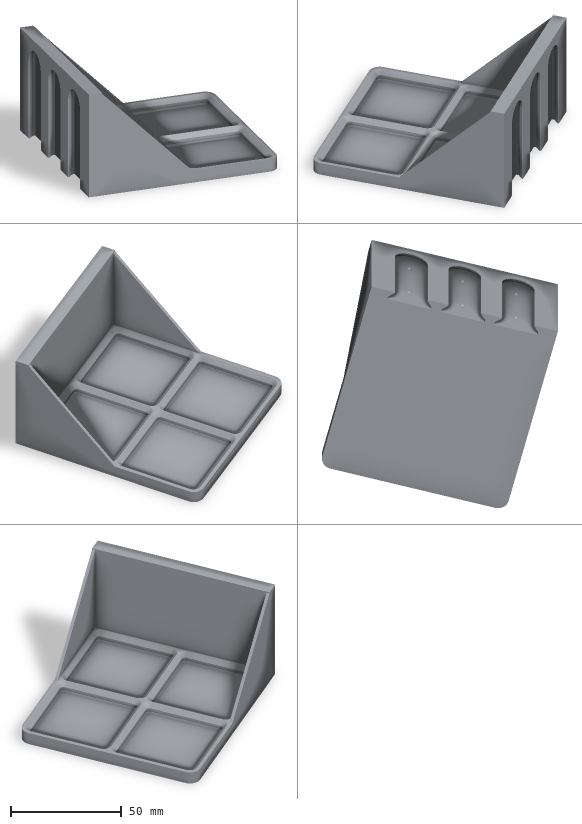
import cadquery as cq
width = 87.0
depth = 92.5
height = 50.0

wall_thickness = 6.5
slot_count = 3
slot_pitch = 25.0
slot_depth = 4.2
slot_lip_thickness = 0.5
slot_foot_thickness = 1.2
slot_mouth_radius = 7.7
slot_foot_radius = 10.2
bump_radius = 1.0
bump_height = 1.0
bump_pitch = slot_pitch
upper_bump_z = height - bump_pitch / 2

tray_height = 6.1
tray_pitch = 42.0
opening_gap = 0.4
opening_size = tray_pitch - opening_gap
opening_radius = 3.7
upper_bevel = 2.0
straight_wall = 1.8
lower_bevel = 0.7
bevel_angle = 45
side_border = width / 2 - tray_pitch
outer_radius = 5.0

brace_thickness = side_border
brace_leg = 43.4

pocket_x = tray_pitch / 2
ridge_y = depth - side_border - tray_pitch
front_pocket_y = ridge_y - tray_pitch / 2
rear_pocket_y = ridge_y + tray_pitch / 2


def rounded_slab(side, radius, center_x, center_y, top_z, thickness, taper=0):
    """Rounded square at top_z, extruded down; a taper in degrees narrows it towards the bottom."""
    slab = (
        cq.Workplane("XY", origin=(center_x, center_y, top_z))
        .sketch()
        .rect(side, side)
        .vertices()
        .fillet(radius)
        .finalize()
    )
    return slab.extrude(-thickness, taper=taper)


def tray_pocket(center_x, center_y):
    """Stepped pocket: upper bevel, straight wall, lower bevel, flat floor."""
    throat_size = opening_size - 2 * upper_bevel
    throat_radius = opening_radius - upper_bevel
    throat_z = tray_height - upper_bevel
    lower_z = throat_z - straight_wall
    mouth = rounded_slab(
        opening_size, opening_radius, center_x, center_y, tray_height, upper_bevel, bevel_angle
    )
    throat = rounded_slab(throat_size, throat_radius, center_x, center_y, throat_z, straight_wall)
    foot = rounded_slab(throat_size, throat_radius, center_x, center_y, lower_z, lower_bevel, bevel_angle)
    return mouth.union(throat).union(foot)


def make_tray(side, rear):
    """One tray; side is -1 or +1 along X, and rear trays have the rounded outer corner."""
    y_start = ridge_y if rear else wall_thickness
    y_end = depth if rear else ridge_y
    block = cq.Workplane("XY").box(width / 2, y_end - y_start, tray_height, centered=False)
    block = block.translate((0 if side > 0 else -width / 2, y_start, 0))
    if rear:
        outer_corner = ">X and >Y" if side > 0 else "<X and >Y"
        block = block.edges("|Z").edges(outer_corner).fillet(outer_radius)
    return block.cut(tray_pocket(side * pocket_x, rear_pocket_y if rear else front_pocket_y))


def make_brace(side):
    """Triangular side brace standing on the border of a front tray, against the wall."""
    outline = [
        (wall_thickness, tray_height),
        (wall_thickness + brace_leg, tray_height),
        (wall_thickness, tray_height + brace_leg),
    ]
    inner_x = width / 2 - brace_thickness
    brace = cq.Workplane("YZ", origin=(inner_x, 0, 0)).polyline(outline).close().extrude(brace_thickness)
    return brace if side > 0 else brace.mirror("YZ")


def slot_cutter(center_x):
    """Undercut slot, open at the bottom of the wall, with a round upper end."""
    foot_start = slot_depth - slot_foot_thickness
    half_profile = [
        (0, 0),
        (slot_mouth_radius, 0),
        (slot_mouth_radius, slot_lip_thickness),
        (slot_foot_radius, foot_start),
        (slot_foot_radius, slot_depth),
        (0, slot_depth),
    ]
    mirrored_half = [(-x, y) for x, y in reversed(half_profile[1:-1])]
    channel = cq.Workplane("XY").polyline(half_profile + mirrored_half).close().extrude(upper_bump_z)
    round_end = (
        cq.Workplane("XY", origin=(0, 0, upper_bump_z))
        .polyline(half_profile)
        .close()
        .revolve(360, (0, 0, 0), (0, 1, 0))
    )
    return channel.union(round_end).translate((center_x, 0, 0))


def detent_bump(center_x, center_z):
    """Pointed bump on the slot floor."""
    cone = cq.Solid.makeCone(
        bump_radius, 0, bump_height, cq.Vector(center_x, slot_depth, center_z), cq.Vector(0, -1, 0)
    )
    return cq.Workplane(cone)


def make_wall():
    """Back wall with its row of slots, two bumps in each."""
    wall = cq.Workplane("XY").box(width, wall_thickness, height, centered=(True, False, False))
    for index in range(slot_count):
        center_x = (index - (slot_count - 1) / 2) * slot_pitch
        wall = wall.cut(slot_cutter(center_x))
        for center_z in (upper_bump_z - bump_pitch, upper_bump_z):
            wall = wall.union(detent_bump(center_x, center_z))
    return wall


wall = make_wall()
trays = [make_tray(side, rear) for rear in (False, True) for side in (-1, 1)]
braces = [make_brace(side) for side in (-1, 1)]

result = cq.Compound.makeCompound(
    [wall.val(), *[tray.val() for tray in trays], *[brace.val() for brace in braces]]
)